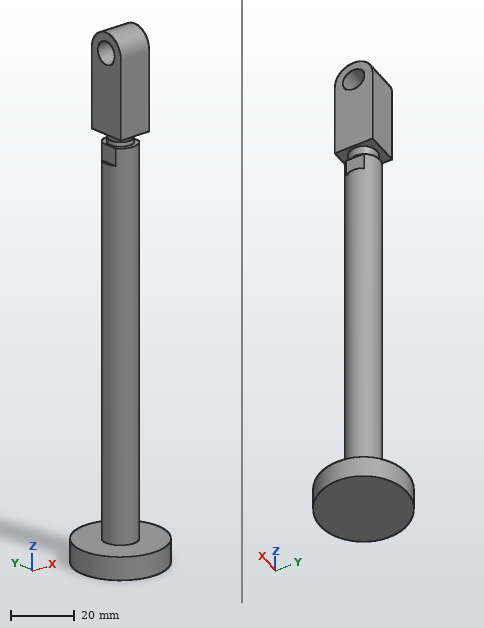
import cadquery as cq

BASE_DIAMETER = 32.0
BASE_THICKNESS = 8.0
ROD_DIAMETER = 12.0
ROD_TOP = 143.0
FLAT_SPACING = 10.0
FLAT_LENGTH = 6.0

COLLAR_DIAMETER = 8.7
COLLAR_HEIGHT = 1.5
COLLAR_CHAMFER_HEIGHT = 0.9

TOTAL_HEIGHT = 181.7
EYE_THICKNESS = 12.0
EYE_WIDTH = 14.0
EYE_HOLE_DIAMETER = 8.0
EYE_BOTTOM = 147.0
NECK_TOP_DIAMETER = 10.0
NECK_BOTTOM_DIAMETER = 8.4

JOINT_HEIGHT = ROD_TOP + COLLAR_HEIGHT


def make_cylinder(diameter, bottom, top):
    """Vertical cylinder on the part axis."""
    return cq.Workplane("XY", origin=(0, 0, bottom)).circle(diameter / 2).extrude(top - bottom)


def make_cone(bottom_diameter, top_diameter, bottom, top):
    """Vertical truncated cone on the part axis."""
    return (
        cq.Workplane("XY", origin=(0, 0, bottom))
        .circle(bottom_diameter / 2)
        .workplane(offset=top - bottom)
        .circle(top_diameter / 2)
        .loft()
    )


def make_collar():
    """Short collar that tapers at its top to the diameter of the neck."""
    chamfer_bottom = JOINT_HEIGHT - COLLAR_CHAMFER_HEIGHT
    straight = make_cylinder(COLLAR_DIAMETER, ROD_TOP, chamfer_bottom)
    chamfer = make_cone(COLLAR_DIAMETER, NECK_BOTTOM_DIAMETER, chamfer_bottom, JOINT_HEIGHT)
    return straight.union(chamfer)


def make_shaft():
    """Round shaft with two wrench flats facing -X and +X at its top."""
    shaft = make_cylinder(ROD_DIAMETER, 0, ROD_TOP)
    flat_zone = make_cylinder(ROD_DIAMETER, ROD_TOP - FLAT_LENGTH, ROD_TOP)
    between_flats = cq.Workplane("XY", origin=(0, 0, ROD_TOP - FLAT_LENGTH)).box(
        FLAT_SPACING, ROD_DIAMETER, FLAT_LENGTH, centered=(True, True, False)
    )
    return shaft.cut(flat_zone.cut(between_flats))


def make_rod():
    """Rod on a disc foot, ending in the collar that carries the eye."""
    foot = make_cylinder(BASE_DIAMETER, 0, BASE_THICKNESS)
    return foot.union(make_shaft()).union(make_collar())


def make_eye():
    """Eye with a rounded top and a cross hole along X, on a tapered neck."""
    eye_radius = EYE_WIDTH / 2
    eye_center = TOTAL_HEIGHT - eye_radius
    body = (
        cq.Workplane("YZ")
        .moveTo(-eye_radius, EYE_BOTTOM)
        .lineTo(eye_radius, EYE_BOTTOM)
        .lineTo(eye_radius, eye_center)
        .threePointArc((0, TOTAL_HEIGHT), (-eye_radius, eye_center))
        .close()
        .extrude(EYE_THICKNESS / 2, both=True)
    )
    hole = (
        cq.Workplane("YZ", origin=(0, 0, eye_center))
        .circle(EYE_HOLE_DIAMETER / 2)
        .extrude(EYE_THICKNESS, both=True)
    )
    neck = make_cone(NECK_BOTTOM_DIAMETER, NECK_TOP_DIAMETER, JOINT_HEIGHT, EYE_BOTTOM)
    return body.cut(hole).union(neck)


rod = make_rod()
eye = make_eye()
result = cq.Compound.makeCompound([rod.val(), eye.val()])